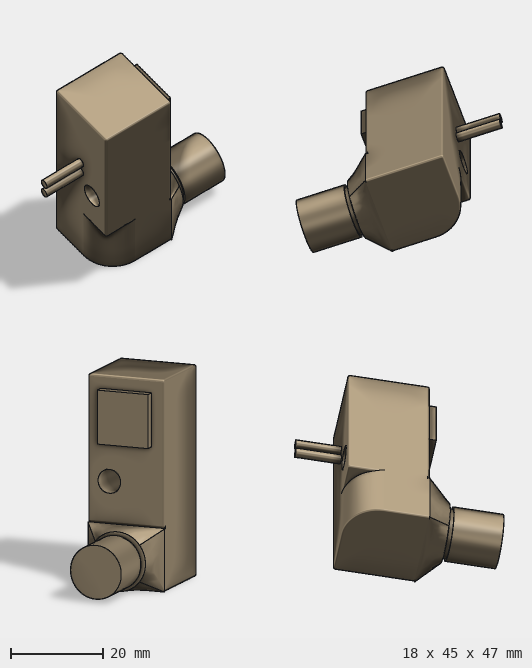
import cadquery as cq

width = 18.0
depth = width
height = 47.0
edge_radius = 0.5

ledge_height = 14.0
corner_radius = 8.0

hole_diameter = 5.3
hole_x = 4.0
hole_z = height / 2

wire_diameter = 2.0
wire_length = 10.0
wire_heights = (28.0, 31.0)

plate_size = 12.0
plate_thickness = 2.0
plate_top_gap = 3.0

connector_z = ledge_height / 2
transition_length = 5.0
transition_radius = 6.65
neck_length = 1.0
neck_diameter = 11.0
barrel_diameter = 12.0
overall_depth = 45.0
barrel_length = overall_depth - wire_length - depth - transition_length - neck_length


def block(block_depth, bottom, top):
    """Box centred in X, starting at the front face."""
    return cq.Workplane("XY").box(width, block_depth, top - bottom, centered=(True, False, False)).translate(
        (0, 0, bottom)
    )


def lower_block(block_depth, top):
    """Block with the large rounded corner and softened front and bottom edges."""
    body = block(block_depth, 0, top)
    body = body.edges("|Z and >X and <Y").fillet(corner_radius)
    body = body.edges("|Z and <X and <Y").fillet(edge_radius)
    return body.faces("<Z").edges("not(>Y)").fillet(edge_radius)


def rod(diameter, length, start_y, z):
    """Cylinder running towards +Y from start_y."""
    plane = cq.Workplane("XZ", origin=(0, start_y, z))
    return plane.circle(diameter / 2).extrude(-length)


def make_housing():
    upper = block(depth, ledge_height, height).edges().fillet(edge_radius)
    base = lower_block(depth, ledge_height)
    joint = lower_block(depth - edge_radius, ledge_height + 2 * edge_radius)
    housing = upper.union(base).union(joint)
    hole = rod(hole_diameter, depth, 0, hole_z).translate((hole_x, 0, 0))
    return housing.cut(hole)


def make_plate():
    bottom = height - plate_top_gap - plate_size
    plate = cq.Workplane("XY").box(plate_size, plate_thickness, plate_size, centered=(True, False, False))
    return plate.translate((0, depth, bottom))


def make_connector():
    transition = (
        cq.Workplane("XZ", origin=(0, depth, connector_z))
        .rect(width, ledge_height)
        .workplane(offset=-transition_length)
        .circle(transition_radius)
        .loft(ruled=True)
    )
    neck_start = depth + transition_length
    neck = rod(neck_diameter, neck_length, neck_start, connector_z)
    barrel = rod(barrel_diameter, barrel_length, neck_start + neck_length, connector_z)
    return transition.union(neck).union(barrel)


result = make_housing().union(make_plate()).union(make_connector())
for wire_z in wire_heights:
    result = result.union(rod(wire_diameter, wire_length, -wire_length, wire_z))